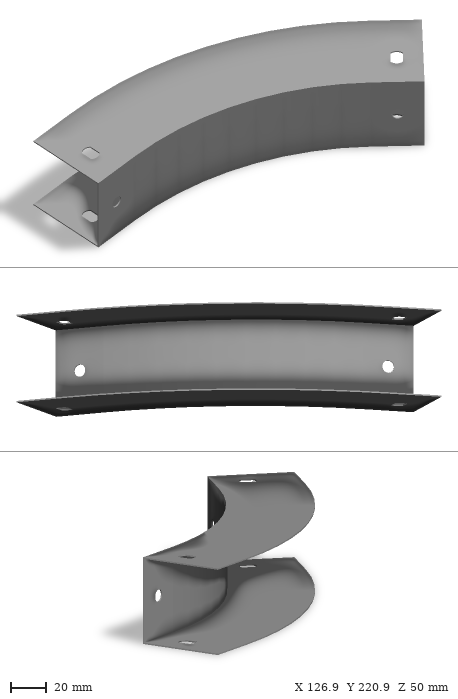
import cadquery as cq
import math

width = 50.0
height = 50.0
thickness = 0.8
bend_angle = 45.0
outer_radius = 240.0
inner_radius = outer_radius - width
leg_length = 30.0

hole_diameter = 7.0
slot_length = 10.0
slot_width = 7.0
slot_offset = 30.0
hole_from_end = leg_length / 2

bend_center = (outer_radius, leg_length)


def bend_point(radius, angle):
    """Point on the bend at an angle in degrees from its start."""
    turn = math.radians(angle)
    x = bend_center[0] - radius * math.cos(turn)
    y = bend_center[1] + radius * math.sin(turn)
    return (x, y)


def leg_end(radius):
    """End of the far leg for an edge running at the given bend radius."""
    turn = math.radians(bend_angle)
    x, y = bend_point(radius, bend_angle)
    return (x + leg_length * math.sin(turn), y + leg_length * math.cos(turn))


def curved_strip(large_radius, small_radius, strip_height):
    """Leg, bend and leg between two concentric edges, extruded up from Z = 0."""
    return (
        cq.Workplane("XY")
        .moveTo(outer_radius - large_radius, 0)
        .lineTo(*bend_point(large_radius, 0))
        .threePointArc(bend_point(large_radius, bend_angle / 2), bend_point(large_radius, bend_angle))
        .lineTo(*leg_end(large_radius))
        .lineTo(*leg_end(small_radius))
        .lineTo(*bend_point(small_radius, bend_angle))
        .threePointArc(bend_point(small_radius, bend_angle / 2), bend_point(small_radius, 0))
        .lineTo(outer_radius - small_radius, 0)
        .close()
        .extrude(strip_height)
    )


def channel():
    """Two flanges joined by a web along the inside of the bend; open on the outside."""
    body = curved_strip(outer_radius, inner_radius, height)
    hollow = curved_strip(outer_radius, inner_radius + thickness, height - 2 * thickness)
    return body.cut(hollow.translate((0, 0, thickness)))


def slot_outline():
    """Circle as wide as the slot is long, with two flats that set the slot width."""
    half_length = slot_length / 2
    half_width = slot_width / 2
    half_flat = math.sqrt(half_length**2 - half_width**2)
    return (
        cq.Workplane("XY")
        .center(slot_offset, hole_from_end)
        .moveTo(-half_flat, -half_width)
        .lineTo(half_flat, -half_width)
        .threePointArc((half_length, 0), (half_flat, half_width))
        .lineTo(-half_flat, half_width)
        .threePointArc((-half_length, 0), (-half_flat, -half_width))
        .close()
    )


def near_leg_cutters():
    """Slot through both flanges and round hole through the web of the near leg."""
    slots = slot_outline().extrude(height)
    web_hole = (
        cq.Workplane("YZ", origin=(width - 2 * thickness, hole_from_end, height / 2))
        .circle(hole_diameter / 2)
        .extrude(3 * thickness)
    )
    return slots.union(web_hole)


def far_leg_cutters():
    """Near leg cutters mirrored across the middle of the bend."""
    middle = math.radians(bend_angle / 2)
    normal = (math.sin(middle), math.cos(middle), 0)
    return near_leg_cutters().mirror(normal, (bend_center[0], bend_center[1], 0))


result = channel().cut(near_leg_cutters()).cut(far_leg_cutters())